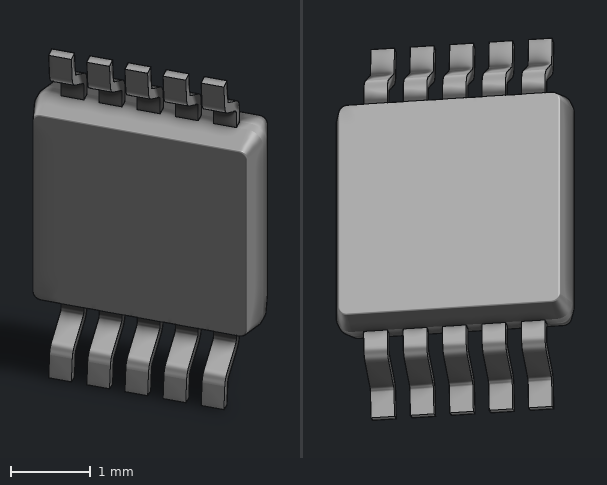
import cadquery as cq
import math

body_side = 3.0
body_thickness = 0.85
body_corner_radius = 0.2
draft_angle = 15.0
rim_radius = 0.025

overall_height = 4.93
overall_depth = 1.0
lead_count = 5
lead_row_span = 2.0
lead_width = 0.3
lead_thickness = 0.135
inner_bend_radius = 0.07
shoulder_length = 0.21
slope_angle = 60.0
foot_angle = 6.0
lead_embedment = 0.195

lead_pitch = lead_row_span / (lead_count - 1)
band_half = lead_thickness / 2
body_edge = body_side / 2


def make_body():
    """Body with a straight band at mid-thickness and a drafted, round-rimmed half on each side."""
    front_band = cq.Workplane("XZ").rect(body_side, body_side).extrude(band_half)
    front_band = front_band.edges("|Y").fillet(body_corner_radius)
    front_half = (
        front_band.faces("<Y")
        .wires()
        .toPending()
        .workplane()
        .extrude(body_thickness / 2 - band_half, taper=draft_angle)
    )
    front_half = front_half.faces("<Y").edges().fillet(rim_radius)
    return front_half.union(front_half.mirror("XZ"))


def make_lead():
    """Lead on the upper edge at X = 0: shoulder, slope towards -Y, and a slightly tilted foot.

    The centreline is worked out as distance out (towards -Y) and height (Z).
    Angles are measured from the Z axis.
    """
    slope = math.radians(slope_angle)
    foot = math.radians(foot_angle)
    bend_radius = inner_bend_radius + lead_thickness / 2

    tip_out = overall_depth - body_thickness / 2 - lead_thickness / 2 * math.cos(foot)
    tip_height = overall_height / 2 - lead_thickness / 2 * math.sin(foot)

    first_bend_height = body_edge + shoulder_length
    slope_start_out = bend_radius * (1 - math.cos(slope))
    slope_start_height = first_bend_height + bend_radius * math.sin(slope)

    second_bend_out = bend_radius * (math.cos(foot) - math.cos(slope))
    second_bend_rise = bend_radius * (math.sin(slope) - math.sin(foot))
    remaining_out = tip_out - slope_start_out - second_bend_out
    remaining_rise = tip_height - slope_start_height - second_bend_rise
    slope_length = (
        remaining_out * math.cos(foot) - remaining_rise * math.sin(foot)
    ) / math.sin(slope - foot)

    slope_end_out = slope_start_out + slope_length * math.sin(slope)
    slope_end_height = slope_start_height + slope_length * math.cos(slope)
    foot_start_out = slope_end_out + second_bend_out
    foot_start_height = slope_end_height + second_bend_rise

    root_height = body_edge - lead_embedment
    centreline = (
        cq.Workplane("YZ")
        .moveTo(0, root_height)
        .lineTo(0, first_bend_height)
        .tangentArcPoint((-slope_start_out, slope_start_height), relative=False)
        .lineTo(-slope_end_out, slope_end_height)
        .tangentArcPoint((-foot_start_out, foot_start_height), relative=False)
        .lineTo(-tip_out, tip_height)
    )
    root = cq.Workplane("XY", origin=(0, 0, root_height))
    return root.rect(lead_width, lead_thickness).sweep(centreline)


result = make_body()
upper_lead = make_lead()
lower_lead = upper_lead.mirror("XY")
for index in range(lead_count):
    lead_x = index * lead_pitch - lead_row_span / 2
    for lead in (upper_lead, lower_lead):
        result = result.union(lead.translate((lead_x, 0, 0)))